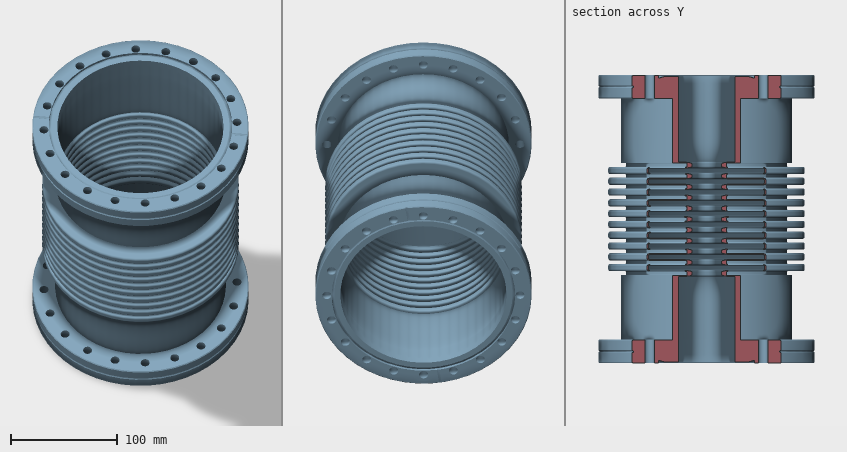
import cadquery as cq
length = 270.0

flange_radius = 101.2
flange_thickness = 22.1
flange_chamfer = 0.8
waist_depth = 1.0

tube_outer_radius = 80.0
tube_bore_radius = 77.8

recess_radius = 85.9
recess_depth = 2.7
knife_edge_radius = 83.5
knife_edge_depth = 1.4

bolt_count = 20
bolt_circle_radius = 90.5
bolt_hole_diameter = 8.5

leak_groove_radius = 1.5
leak_groove_depth = 0.5

convolution_count = 10
convolution_pitch = 10.1
fin_height = 6.8
convolution_outer_radius = 92.0
bellows_inner_radius = 74.5
bellows_wall = 1.0
tip_radius = 2.0
root_radius = 0.5
end_gap_height = 3.8

half_length = length / 2
gap_height = convolution_pitch - fin_height
neck_outer_radius = bellows_inner_radius + bellows_wall
fins_half_height = (convolution_count * convolution_pitch - gap_height) / 2
tube_end = fins_half_height + end_gap_height
flange_bottom = half_length - flange_thickness
flange_middle = half_length - flange_thickness / 2
bolt_pitch_angle = 360 / bolt_count

first_fin_center = -(convolution_count - 1) / 2 * convolution_pitch
fin_centers = [first_fin_center + index * convolution_pitch for index in range(convolution_count)]


def add_folded_side(outline, inset, tube_radius, direction):
    """Extend an outline along one side of the bellows wall and tubes, upward (+1) or downward (-1).

    The inset is the distance from the outer surface, measured into the wall.
    """
    tip = convolution_outer_radius - inset
    neck = neck_outer_radius - inset
    tip_bend = tip_radius - inset
    root_bend = root_radius + inset
    half_fin = fin_height / 2 - inset
    tube_face = tube_end + inset

    def line(radius, height):
        return outline.lineTo(radius, direction * height)

    def root_arc(radius, height):
        return outline.radiusArc((radius, direction * height), direction * root_bend)

    def tip_arc(radius, height):
        return outline.radiusArc((radius, direction * height), -direction * tip_bend)

    outline = line(tube_radius, -tube_face)
    outline = line(neck + root_bend, -tube_face)
    outline = root_arc(neck, -tube_face + root_bend)
    for center in fin_centers:
        bottom = center - half_fin
        top = center + half_fin
        outline = line(neck, bottom - root_bend)
        outline = root_arc(neck + root_bend, bottom)
        outline = line(tip - tip_bend, bottom)
        outline = tip_arc(tip, bottom + tip_bend)
        outline = line(tip, top - tip_bend)
        outline = tip_arc(tip - tip_bend, top)
        outline = line(neck + root_bend, top)
        outline = root_arc(neck, top + root_bend)
    outline = line(neck, tube_face - root_bend)
    outline = root_arc(neck + root_bend, tube_face)
    outline = line(tube_radius, tube_face)
    return line(tube_radius, flange_bottom)


def make_body():
    """Bellows wall of constant thickness together with the tubes above and below it."""
    outline = cq.Workplane("XZ").moveTo(tube_outer_radius, -flange_bottom)
    outline = add_folded_side(outline, 0, tube_outer_radius, 1)
    outline = outline.lineTo(tube_bore_radius, flange_bottom)
    outline = add_folded_side(outline, bellows_wall, tube_bore_radius, -1)
    return outline.close().revolve(360, (0, 0, 0), (0, 1, 0))


def make_upper_flange():
    """Upper flange, bolt holes and leak-check grooves included."""
    profile = [
        (tube_bore_radius, flange_bottom),
        (flange_radius - flange_chamfer, flange_bottom),
        (flange_radius, flange_bottom + flange_chamfer),
        (flange_radius, flange_middle - waist_depth),
        (flange_radius - waist_depth, flange_middle),
        (flange_radius, flange_middle + waist_depth),
        (flange_radius, half_length - flange_chamfer),
        (flange_radius - flange_chamfer, half_length),
        (recess_radius, half_length),
        (recess_radius, half_length - recess_depth),
        (knife_edge_radius, half_length - knife_edge_depth),
        (tube_bore_radius, half_length - knife_edge_depth),
    ]
    flange = cq.Workplane("XZ").polyline(profile).close().revolve(360, (0, 0, 0), (0, 1, 0))

    bolt_holes = (
        cq.Workplane("XY")
        .workplane(offset=flange_bottom)
        .polarArray(bolt_circle_radius, 0, 360, bolt_count)
        .circle(bolt_hole_diameter / 2)
        .extrude(flange_thickness)
    )

    leak_grooves = (
        cq.Workplane("YZ")
        .center(0, half_length + leak_groove_radius - leak_groove_depth)
        .circle(leak_groove_radius)
        .extrude(flange_radius, both=True)
        .cut(cq.Workplane("XY").box(2 * knife_edge_radius, length, 3 * length))
        .rotate((0, 0, 0), (0, 0, 1), bolt_pitch_angle / 2)
    )
    return flange.cut(bolt_holes).cut(leak_grooves)


upper_flange = make_upper_flange()
lower_flange = upper_flange.mirror("XY")
result = make_body().union(upper_flange).union(lower_flange)